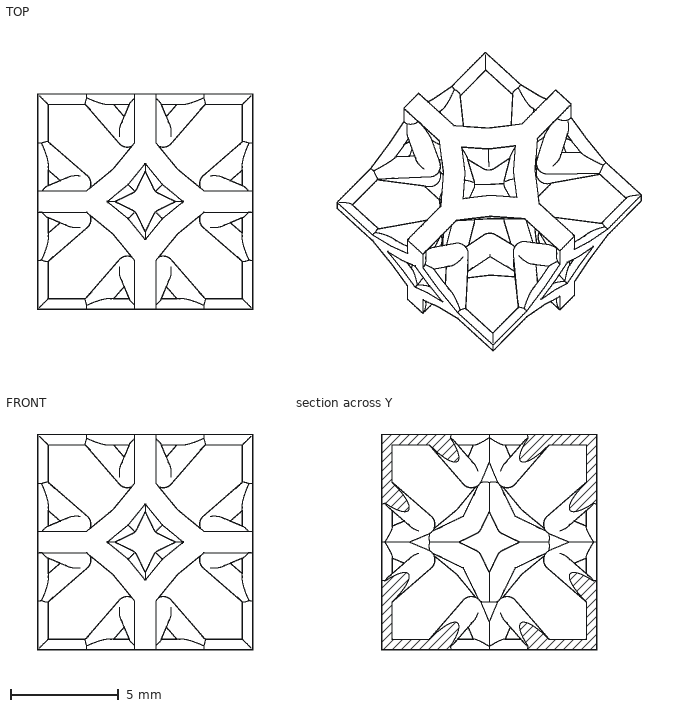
import cadquery as cq

cell_size = 10.0
strut_diameter = 1.0
node_offset = 2.55
face_elbow_offset = 1.15
inner_elbow_offset = 0.83
inner_elbow_height = 3.02

half_cell = cell_size / 2
strut_radius = strut_diameter / 2


def strut(start, end):
    """Round bar between two points."""
    axis = cq.Vector(*end) - cq.Vector(*start)
    return cq.Workplane(cq.Solid.makeCylinder(strut_radius, axis.Length, cq.Vector(*start), axis))


def joint(point):
    """Ball that rounds off the struts meeting at a point."""
    return cq.Workplane("XY").sphere(strut_radius).translate(point)


def top_face_quadrant():
    """Struts of the +X +Y quadrant of the top face, with the bent struts below it."""
    nodes = [(node_offset, 0, half_cell), (0, node_offset, half_cell)]
    edge_middles = [(half_cell, 0, half_cell), (0, half_cell, half_cell)]
    elbows = [
        (face_elbow_offset, face_elbow_offset, half_cell),
        (inner_elbow_offset, inner_elbow_offset, inner_elbow_height),
    ]
    quadrant = cq.Workplane("XY")
    for point in nodes + elbows:
        quadrant = quadrant.add(joint(point))
    for node, edge_middle in zip(nodes, edge_middles):
        quadrant = quadrant.add(strut(node, edge_middle))
        for elbow in elbows:
            quadrant = quadrant.add(strut(node, elbow))
    return quadrant.combine()


quadrant = top_face_quadrant()
octant = quadrant
for angle in (120, 240):
    octant = octant.union(quadrant.rotate((0, 0, 0), (1, 1, 1), angle))
octant = octant.intersect(cq.Workplane("XY").box(half_cell, half_cell, half_cell, centered=False))

result = octant
for plane in ("YZ", "XZ", "XY"):
    result = result.union(result.mirror(plane))